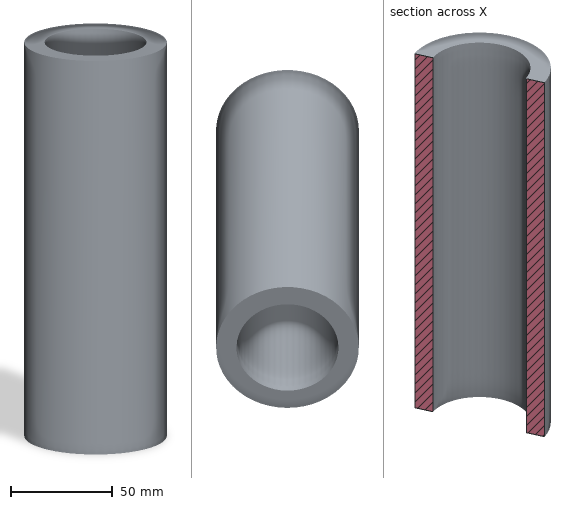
import cadquery as cq

length = 200.0
outer_diameter = 70.0
wall_thickness = 10.0
bore_diameter = outer_diameter - 2 * wall_thickness

result = (
    cq.Workplane("XY")
    .circle(outer_diameter / 2)
    .circle(bore_diameter / 2)
    .extrude(length)
)